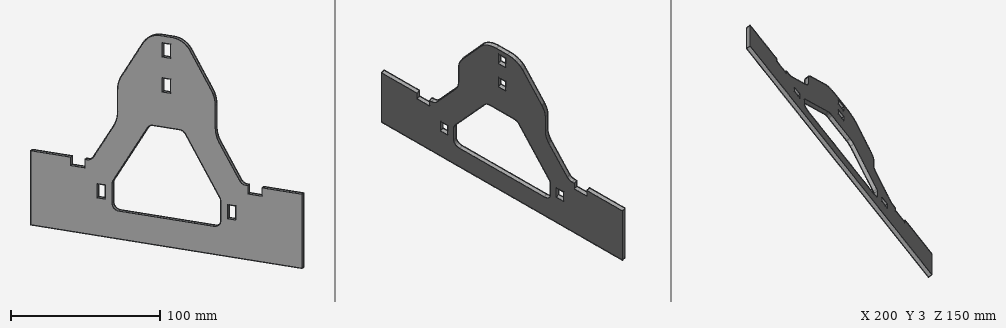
import cadquery as cq

width = 200.0
height = 150.0
thickness = 3.0
base_height = 53.0

foot_half_width = 55.5
neck_half_width = 36.0
neck_bottom = 85.0
neck_top = 112.0
crown_half_width = 13.0

foot_radius = 5.0
neck_radius = 20.0
crown_radius = 15.0

notch_center = 65.2
notch_width = 10.5
notch_depth = 6.0

slot_width = 6.0
slot_height = 10.0
side_slot_x = 48.0
side_slot_z = 32.0
upper_slot_z = 140.0
lower_slot_z = 115.0
slot_centers = [
    (-side_slot_x, side_slot_z),
    (side_slot_x, side_slot_z),
    (0, upper_slot_z),
    (0, lower_slot_z),
]

window_half_width = 40.0
window_bottom = 20.0
window_shoulder = 40.0
window_top = 85.0
window_top_half_width = 12.5
window_radius = 5.0


def symmetric_plate(right_side):
    """Extrude an outline given by its right side, from bottom to top, through the thickness."""
    left_side = [(-x, z) for x, z in reversed(right_side)]
    profile = cq.Workplane("XZ").polyline(right_side + left_side).close()
    return profile.extrude(thickness / 2, both=True)


def round_corners(body, corner, radius):
    """Round the through-thickness edges at a corner and at its mirror image."""
    x, z = corner
    margin = 0.2
    for side in (-1, 1):
        around_corner = cq.selectors.BoxSelector(
            (side * x - margin, -thickness, z - margin),
            (side * x + margin, thickness, z + margin),
        )
        body = body.edges("|Y").edges(around_corner).fillet(radius)
    return body


def cutter(x, z, size_x, size_z):
    """Rectangular block, centred at (x, z), that passes through the plate."""
    return cq.Workplane("XY").box(size_x, 2 * thickness, size_z).translate((x, 0, z))


def make_plate():
    foot = (foot_half_width, base_height)
    neck_low = (neck_half_width, neck_bottom)
    neck_high = (neck_half_width, neck_top)
    crown = (crown_half_width, height)
    base = [(width / 2, 0), (width / 2, base_height)]
    plate = symmetric_plate(base + [foot, neck_low, neck_high, crown])
    plate = round_corners(plate, foot, foot_radius)
    plate = round_corners(plate, neck_low, neck_radius)
    plate = round_corners(plate, neck_high, neck_radius)
    return round_corners(plate, crown, crown_radius)


def make_window():
    corners = [
        (window_half_width, window_bottom),
        (window_half_width, window_shoulder),
        (window_top_half_width, window_top),
    ]
    return symmetric_plate(corners).edges("|Y").fillet(window_radius)


result = make_plate().cut(make_window())

for x, z in slot_centers:
    result = result.cut(cutter(x, z, slot_width, slot_height))

for side in (-1, 1):
    result = result.cut(cutter(side * notch_center, base_height, notch_width, 2 * notch_depth))